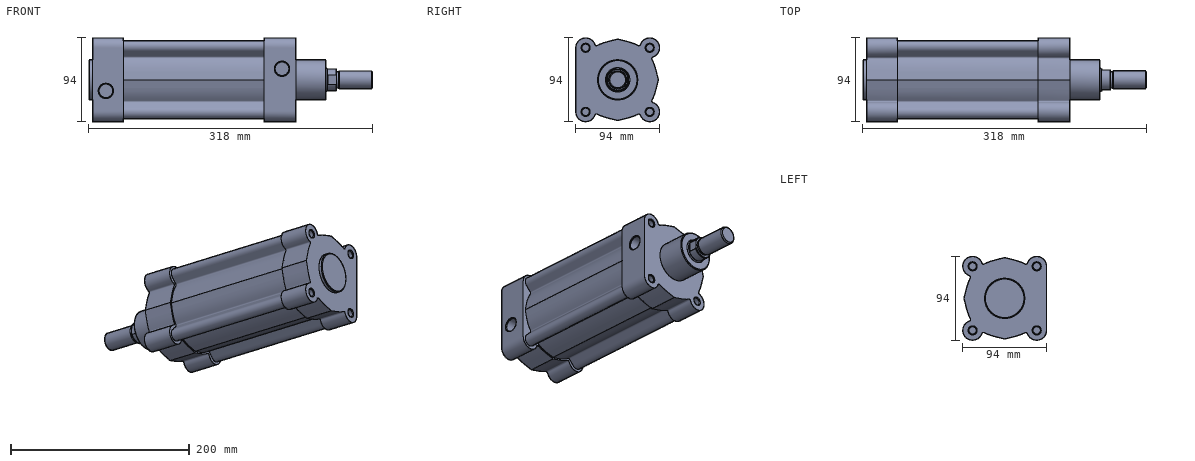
import cadquery as cq
import math


total_length = 318.0
collar_length = 4.0
rear_cap_end = 38.8
front_cap_start = 196.5
front_cap_end = 232.0
boss_end = 266.2
lip_end = 267.5
flats_start = 268.5
rod_shoulder = 278.0
neck_end = 280.8

cap_half_width = 47.0
lug_offset = 36.0
lug_radius = cap_half_width - lug_offset
lug_root_fillet = 1.5
cap_apex = 45.8
cap_panel_half_width = 11.0
cap_panel_slope = 14.3
cap_shoulder_radius = 63.5

barrel_apex = 44.0
barrel_panel_half_width = 9.2
barrel_panel_slope = 12.3
barrel_shoulder_radius = 41.3
rib_radius = 7.0
rib_offset = barrel_apex - rib_radius
rib_depth = 16.0
rib_root_fillet = 2.0

shoulder_half_width = 25.5

collar_radius = 22.5
collar_chamfer = 1.0
lip_base_radius = 13.7

screw_hole_radius = 4.0
screw_hole_chamfer = 1.0
screw_hole_depth = 16.0

port_radius = 7.5
port_chamfer = 1.0
port_depth = 16.0
port_height = 12.5
rear_port_x = 19.0
front_port_x = 216.5

rod_radius = 12.5
rod_chamfer = 0.5
flats_width = 22.3
neck_radius = 9.2
thread_radius = 10.2
thread_start_chamfer = 1.0
thread_end_chamfer = 1.3

x_axis = cq.Vector(1, 0, 0)
y_axis = cq.Vector(0, 1, 0)


def cross_section(x):
    """Sketch plane across the axis at station x; its local axes are Y and Z."""
    return cq.Workplane("YZ", origin=(x, 0, 0))


def corner_points(offset):
    return [(y, z) for y in (-offset, offset) for z in (-offset, offset)]


def quarter_turned(point, turns):
    """Turn a (Y, Z) point clockwise about the axis by a number of quarter turns."""
    y, z = point
    for _ in range(turns):
        y, z = z, -y
    return (y, z)


def bulged_body(start, end, apex, panel_half_width, panel_slope, shoulder_radius):
    """Prism with four like sides: two sloping panels meet at an apex and run on into shoulder arcs."""
    slope = math.radians(panel_slope)
    knee_height = apex - panel_half_width * math.tan(slope)
    arc_centre_y = panel_half_width - shoulder_radius * math.sin(slope)
    arc_centre_z = knee_height - shoulder_radius * math.cos(slope)

    def shoulder_point(y):
        return (y, arc_centre_z + math.sqrt(shoulder_radius**2 - (y - arc_centre_y) ** 2))

    knee = (panel_half_width, knee_height)
    middle = shoulder_point((panel_half_width + shoulder_half_width) / 2)
    tip = shoulder_point(shoulder_half_width)
    left_tip, left_middle, left_knee = [(-y, z) for y, z in (tip, middle, knee)]
    side = [left_tip, left_middle, left_knee, (0, apex), knee, middle, tip]

    outline = cross_section(start).moveTo(*left_tip)
    for turns in range(4):
        first, arc_in, knee_in, top, knee_out, arc_out, last = [quarter_turned(p, turns) for p in side]
        if turns > 0:
            outline = outline.lineTo(*first)
        outline = outline.threePointArc(arc_in, knee_in).lineTo(*top)
        outline = outline.lineTo(*knee_out).threePointArc(arc_out, last)
    return outline.close().extrude(end - start)


def fillet_roots(body, is_root, radius):
    """Round the lengthwise edges whose (Y, Z) distances from the axis planes pass is_root."""
    roots = []
    for edge in body.edges("|X").vals():
        place = edge.Center()
        if is_root(abs(place.y), abs(place.z)):
            roots.append(edge)
    return body.newObject(roots).fillet(radius)


def chamfered_bore(mouth, direction, radius, depth, chamfer):
    """Cutter for a blind hole with a chamfered mouth."""
    bore = cq.Solid.makeCylinder(radius, depth, mouth, direction)
    cone = cq.Solid.makeCone(radius + chamfer, radius, chamfer, mouth, direction)
    return cq.Workplane(bore.fuse(cone))


def cut_screw_holes(cap, face_x, direction):
    for y, z in corner_points(lug_offset):
        mouth = cq.Vector(face_x, y, z)
        cap = cap.cut(
            chamfered_bore(mouth, direction, screw_hole_radius, screw_hole_depth, screw_hole_chamfer)
        )
    return cap


def cut_port(cap, x, z):
    mouth = cq.Vector(x, -cap_half_width, z)
    return cap.cut(chamfered_bore(mouth, y_axis, port_radius, port_depth, port_chamfer))


def cap_block(start, end):
    """Cap without collar or holes."""
    length = end - start
    block = bulged_body(
        start, end, cap_apex, cap_panel_half_width, cap_panel_slope, cap_shoulder_radius
    )
    lugs = cross_section(start).pushPoints(corner_points(lug_offset)).circle(lug_radius).extrude(length)
    block = block.union(lugs)

    def is_lug_root(y, z):
        on_lug = math.isclose(math.hypot(y - lug_offset, z - lug_offset), lug_radius, abs_tol=0.03)
        return on_lug and max(y, z) < cap_apex

    block = fillet_roots(block, is_lug_root, lug_root_fillet)

    flat_side = cq.Workplane("XY").box(length, lug_radius, 2 * lug_offset, centered=(False, False, True))
    return block.union(flat_side.translate((start, -cap_half_width, 0)))


def build_rear_cap():
    cap = cap_block(collar_length, rear_cap_end)
    collar = cross_section(0).circle(collar_radius).extrude(collar_length)
    cap = cap.union(collar.faces("<X").chamfer(collar_chamfer))
    cap = cut_port(cap, rear_port_x, -port_height)
    return cut_screw_holes(cap, collar_length, x_axis)


def build_front_cap():
    cap = cap_block(front_cap_start, front_cap_end)
    boss = cross_section(front_cap_end).circle(collar_radius).extrude(boss_end - front_cap_end)
    cap = cap.union(boss.faces(">X").chamfer(collar_chamfer))
    lip = cq.Solid.makeCone(
        lip_base_radius, rod_radius, lip_end - boss_end, cq.Vector(boss_end, 0, 0), x_axis
    )
    cap = cap.union(cq.Workplane(lip))
    cap = cut_port(cap, front_port_x, port_height)
    return cut_screw_holes(cap, front_cap_end, -x_axis)


def corner_rib(start, end):
    """Rib with parallel flanks and a rounded crest, along the diagonal of the +Y +Z corner."""
    diagonal = cq.Plane(origin=(start, 0, 0), xDir=(0, 1, 1), normal=(1, 0, 0))
    crest_centre = rib_offset * math.sqrt(2)
    foot = crest_centre - rib_depth
    outline = cq.Workplane(diagonal).moveTo(foot, -rib_radius).lineTo(crest_centre, -rib_radius)
    outline = outline.threePointArc((crest_centre + rib_radius, 0), (crest_centre, rib_radius))
    return outline.lineTo(foot, rib_radius).close().extrude(end - start)


def build_barrel():
    body = bulged_body(
        rear_cap_end, front_cap_start, barrel_apex, barrel_panel_half_width,
        barrel_panel_slope, barrel_shoulder_radius,
    )
    rib = corner_rib(rear_cap_end, front_cap_start)
    for turn in range(4):
        body = body.union(rib.rotate((0, 0, 0), (1, 0, 0), 90 * turn))

    def is_rib_root(y, z):
        on_flank = math.isclose(abs(y - z), rib_radius * math.sqrt(2), abs_tol=0.03)
        return on_flank and y + z < 2 * rib_offset - rib_radius / 2

    return fillet_roots(body, is_rib_root, rib_root_fillet)


def build_rod():
    half_section = [
        (lip_end, 0),
        (lip_end, rod_radius),
        (rod_shoulder - rod_chamfer, rod_radius),
        (rod_shoulder, rod_radius - rod_chamfer),
        (rod_shoulder, neck_radius),
        (neck_end - thread_start_chamfer, neck_radius),
        (neck_end, thread_radius),
        (total_length - thread_end_chamfer, thread_radius),
        (total_length, thread_radius - thread_end_chamfer),
        (total_length, 0),
    ]
    rod = cq.Workplane("XY").polyline(half_section).close().revolve(360, (0, 0, 0), (1, 0, 0))

    flats_length = rod_shoulder - flats_start
    for side in (-1, 1):
        waste = cq.Workplane("XY").box(flats_length, rod_radius, 2 * rod_radius)
        waste_y = side * (flats_width + rod_radius) / 2
        rod = rod.cut(waste.translate((flats_start + flats_length / 2, waste_y, 0)))
    return rod


rear_cap = build_rear_cap()
barrel = build_barrel()
front_cap = build_front_cap()
rod = build_rod()

bodies = (rear_cap, barrel, front_cap, rod)
result = cq.Compound.makeCompound([body.solids().val() for body in bodies])